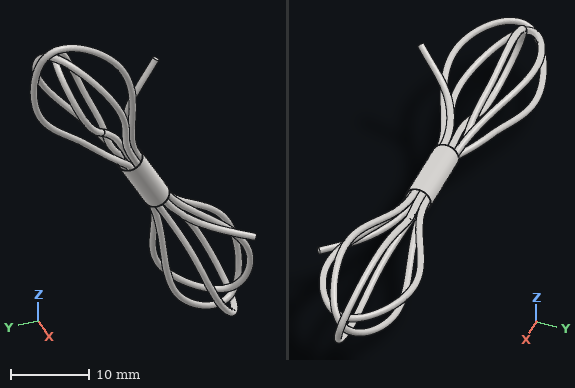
import cadquery as cq
import math

CABLE_DIAMETER = 1.0
STRAND_COUNT = 7
STRAND_RING_RADIUS = 1.2
FIRST_STRAND_ANGLE = -90
CABLE_CLEARANCE = 0.035

SLEEVE_LENGTH = 10.0
SLEEVE_DIAMETER = 3.6
SLEEVE_BORE = 2 * (STRAND_RING_RADIUS + CABLE_CLEARANCE) + CABLE_DIAMETER

SLEEVE_END = SLEEVE_LENGTH / 2
LEFT, RIGHT = -1, 1
X_AXIS = cq.Vector(1, 0, 0)

RIGHT_TAIL_STRAND = 6
LEFT_TAIL_STRAND = 4

LOOPS = [
    {
        "side": LEFT,
        "strands": (6, 2),
        "outward": [(-13.9, -2.7, -2.2), (-24.6, -4.9, -3.0)],
        "tip": (-32.95, 0, 0),
        "inward": [(-24.6, 5.35, 2.65), (-13.9, 3.35, 1.9), (-7.0, 1.4, 0.55)],
    },
    {
        "side": RIGHT,
        "strands": (2, 5),
        "outward": [(14.5, 3.9, 0), (23.95, 5.6, -0.15)],
        "tip": (31.55, 0, 0.3),
        "inward": [(23.95, -5.65, 0.6), (14.5, -3.6, 0.85)],
    },
    {
        "side": LEFT,
        "strands": (5, 0),
        "outward": [(-13.9, -3.6, 0.7), (-24.6, -5.5, 2.3)],
        "tip": (-34.35, 0, 0),
        "inward": [(-24.6, 5.35, -2.6), (-13.9, 3.6, -1.4), (-9.05, 1.95, -1.1), (-6.6, 0.35, -1.4)],
    },
    {
        "side": RIGHT,
        "strands": (0, 3),
        "outward": [(13.9, -1.3, -3.75), (24.3, -1.45, -5.85)],
        "tip": (34.35, 0.3, 0),
        "inward": [(24.3, 1.9, 5.7), (11.85, 1.45, 2.6)],
    },
    {
        "side": LEFT,
        "strands": (3, 1),
        "outward": [(-11.8, -0.4, -0.55), (-17.1, -0.85, -2.7), (-24.9, -1.1, -5.1)],
        "tip": (-31.55, 0.35, 0),
        "inward": [
            (-24.9, 1.75, 5.1),
            (-17.1, 1.6, 3.3),
            (-11.8, 1.05, 0.9),
            (-8.6, 0.9, -0.35),
            (-7.0, 0.7, -0.35),
        ],
    },
    {
        "side": RIGHT,
        "strands": (1, 4),
        "outward": [(15.3, 2.65, -3.35), (23.95, 3.55, -4.4)],
        "tip": (32.95, 0, 0.2),
        "inward": [(23.95, -3.1, 4.8), (16.0, -1.9, 3.9)],
    },
]


def strand_end(strand, side):
    """Centre of a strand where it leaves the sleeve at the given side."""
    angle = math.radians(360 * strand / STRAND_COUNT + FIRST_STRAND_ANGLE)
    return cq.Vector(
        side * SLEEVE_END,
        STRAND_RING_RADIUS * math.cos(angle),
        STRAND_RING_RADIUS * math.sin(angle),
    )


RIGHT_TAIL_HEIGHT = strand_end(RIGHT_TAIL_STRAND, RIGHT).z
RIGHT_TAIL_POINTS = [(18.45, -8.5, RIGHT_TAIL_HEIGHT), (14.7, -4.6, RIGHT_TAIL_HEIGHT)]
LEFT_TAIL_POINTS = [(-13.1, -2.5, 1.5), (-14.7, -3.5, 2.0), (-18.3, -8.4, 6.05)]


def smooth_curve(points, start_direction, end_direction):
    """Spline through the points, tangent to the given directions at its ends."""
    directions = [start_direction.normalized(), end_direction.normalized()]
    return cq.Edge.makeSpline(points, tangents=directions, scale=False)


def vectors(points):
    return [cq.Vector(*point) for point in points]


def straight_strand(strand, toward):
    """Straight run through the whole sleeve, leaving it at the given side."""
    return cq.Edge.makeLine(strand_end(strand, -toward), strand_end(strand, toward))


def loop_curve(loop):
    first_strand, last_strand = loop["strands"]
    side = loop["side"]
    passed = [*loop["outward"], loop["tip"], *loop["inward"]]
    start = strand_end(first_strand, side)
    end = strand_end(last_strand, side)
    return smooth_curve([start, *vectors(passed), end], X_AXIS * side, X_AXIS * -side)


def right_tail():
    points = [*vectors(RIGHT_TAIL_POINTS), strand_end(RIGHT_TAIL_STRAND, RIGHT)]
    return smooth_curve(points, points[1] - points[0], X_AXIS * LEFT)


def left_tail():
    points = [strand_end(LEFT_TAIL_STRAND, LEFT), *vectors(LEFT_TAIL_POINTS)]
    return smooth_curve(points, X_AXIS * LEFT, points[-1] - points[-2])


def cable_path():
    """Centre line of the cable, from the end of the right tail to the end of the left tail."""
    edges = [right_tail()]
    for loop in LOOPS:
        edges.append(straight_strand(loop["strands"][0], loop["side"]))
        edges.append(loop_curve(loop))
    edges.append(straight_strand(LEFT_TAIL_STRAND, LEFT))
    edges.append(left_tail())
    return cq.Wire.assembleEdges(edges)


def make_cable():
    path = cable_path()
    section = cq.Plane(origin=path.startPoint(), normal=path.tangentAt(0))
    return cq.Workplane(section).circle(CABLE_DIAMETER / 2).sweep(cq.Workplane(path))


def make_sleeve():
    return (
        cq.Workplane("YZ", origin=(-SLEEVE_END, 0, 0))
        .circle(SLEEVE_DIAMETER / 2)
        .circle(SLEEVE_BORE / 2)
        .extrude(SLEEVE_LENGTH)
    )


sleeve = make_sleeve()
cable = make_cable()

result = cq.Compound.makeCompound([sleeve.val(), cable.val()])